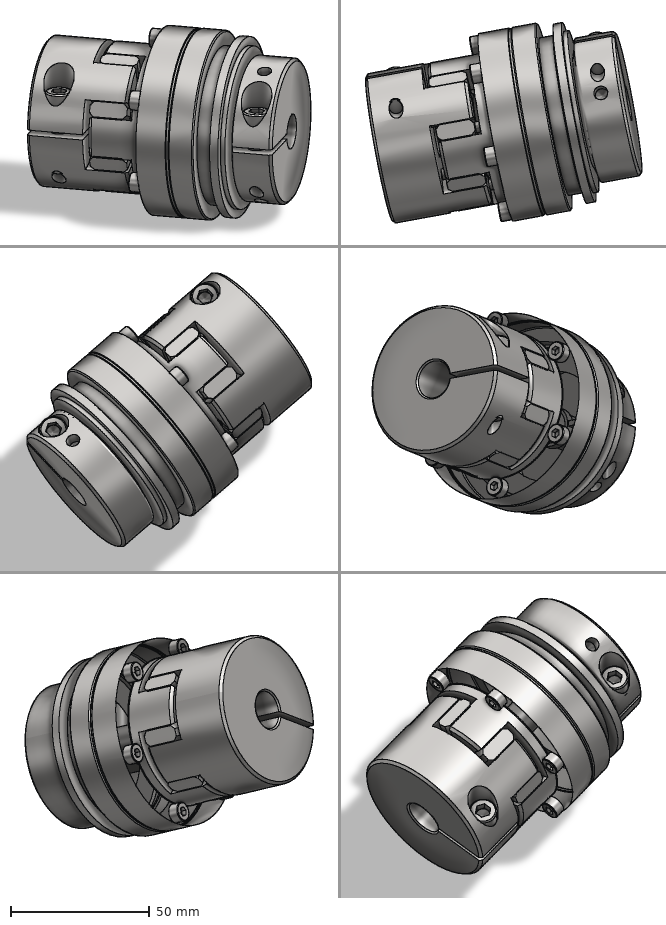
import cadquery as cq
import math


left_end = 0.0
left_hub_face = 21.0
spider_start = 23.0
spider_end = 37.0
jaw_hub_face = 39.0
spigot_start = 42.6
flange_start = 43.0
flange_groove_start = 54.2
flange_groove_end = 55.0
flange_end = 64.4
collar_end = 69.6
disc_start = 70.3
disc_end = 73.4
ring_end = 75.1
recess_cone_start = 78.6
dome_end = 76.6
right_end = 91.74

left_hub_radius = 27.5
jaw_hub_radius = 27.3
spigot_radius = 27.45
flange_radius = 34.5
flange_groove_radius = 34.1
collar_radius = 29.0
collar_groove_radius = 28.0
disc_radius = 33.0
ring_radius = 29.7
dome_small_radius = 20.4
dome_middle_radius = 22.9
dome_middle_x = 76.0
dome_large_radius = 25.6
shoulder_width = 1.0
shoulder_middle_x = 76.9
shoulder_middle_radius = 26.3
right_hub_radius = 26.6
bore_radius = 6.35
recess_radius = 7.5
left_bore_radius = 6.9
hub_chamfer = 1.0
front_flange_chamfer = 0.2
rear_flange_chamfer = 0.5
bore_chamfer = 0.6

jaws_per_hub = 4
leg_count = 2 * jaws_per_hub
leg_pitch = 360.0 / leg_count
leg_width = 6.0
leg_bulge = 0.9
leg_outer_radius = 27.0
leg_chamfer = 1.6
leg_edge_chamfer = 0.3
jaw_inner_radius = 17.5
jaw_chamfer = 1.1
core_outer_radius = 17.0
core_inner_radius = 13.5
pin_diameter = 4.0
pin_circle_radius = 20.0
pin_projection = 1.5

slit_width = 2.0
counterbore_diameter = 11.0
screw_head_diameter = 10.0
screw_head_height = 6.0
screw_head_chamfer = 0.5
screw_diameter = 6.0
screw_clearance_diameter = 6.5
screw_thread_diameter = 5.0
screw_socket_width = 5.0
screw_socket_depth = 3.0
left_screw_x = 10.0
left_screw_y = -20.0
left_screw_top = 14.4
left_screw_length = 24.5
right_screw_x = 84.15
right_screw_y = -19.6
right_screw_top = 13.1
right_screw_length = 20.0
right_slit_start = 75.6

radial_hole_diameter = 5.0
radial_hole_depth = 5.0
radial_hole_angles = (110.0, 239.5)

bolt_count = 6
bolt_circle_radius = 31.0
bolt_head_diameter = 7.0
bolt_head_chamfer = 0.3
bolt_socket_width = 3.0
bolt_socket_depth = 2.0

drill_point_half_angle = math.radians(59.0)


def tube(start, end, outer_radius, inner_radius):
    """Hollow cylinder about the X axis."""
    plane = cq.Workplane("YZ", origin=(start, 0, 0))
    return plane.circle(outer_radius).circle(inner_radius).extrude(end - start)


def rod(start, end, radius):
    """Solid cylinder about the X axis."""
    return cq.Workplane("YZ", origin=(start, 0, 0)).circle(radius).extrude(end - start)


def about_x(shape, angle):
    """Turn a shape about the X axis; a positive angle goes from +Y towards +Z."""
    return shape.rotate((0, 0, 0), (1, 0, 0), angle)


def drill_point(diameter):
    """Cone below the XY plane that ends a drilled hole."""
    radius = diameter / 2
    length = radius / math.tan(drill_point_half_angle)
    return cq.Workplane(cq.Solid.makeCone(radius, 0, length, dir=cq.Vector(0, 0, -1)))


def hex_socket(width, depth):
    """Hexagonal recess below the XY plane with a conical floor and two corners on the Y axis."""
    across_corners = width / math.cos(math.pi / 6)
    hexagon = cq.Workplane("XY").polygon(6, across_corners).extrude(-depth)
    point = drill_point(width).translate((0, 0, -depth))
    return hexagon.rotate((0, 0, 0), (0, 0, 1), 90).union(point)


def socket_head(diameter, height, chamfer, socket_width, socket_depth):
    """Cap screw head with its top on the XY plane."""
    head = cq.Workplane("XY").circle(diameter / 2).extrude(-height)
    head = head.faces(">Z").edges().chamfer(chamfer)
    return head.cut(hex_socket(socket_width, socket_depth))


def leg_blank(start, end, inner_radius, outer_radius):
    """Barrel-sided bar along +Y, one leg wide at both ends of the jaws and wider halfway."""
    half_width = leg_width / 2
    barrel_inner = math.sqrt(jaw_inner_radius**2 - half_width**2)
    barrel_outer = math.sqrt(left_hub_radius**2 - half_width**2)
    barrel_middle = (barrel_inner + barrel_outer) / 2
    section = (
        cq.Workplane("YZ", origin=(start, 0, 0))
        .moveTo(0, half_width)
        .lineTo(barrel_inner, half_width)
        .threePointArc((barrel_middle, half_width + leg_bulge), (barrel_outer, half_width))
        .lineTo(2 * left_hub_radius, half_width)
        .lineTo(2 * left_hub_radius, -half_width)
        .lineTo(barrel_outer, -half_width)
        .threePointArc((barrel_middle, -half_width - leg_bulge), (barrel_inner, -half_width))
        .lineTo(0, -half_width)
        .close()
    )
    limits = cq.Workplane("XY").box(
        end - start, outer_radius - inner_radius, 2 * leg_width, centered=(False, False, True)
    )
    return section.extrude(end - start).intersect(limits.translate((start, inner_radius, 0)))


def jaws(start, end, outer_radius, first_angle, outer_end):
    """Four jaws whose flanks fit the spider legs between them."""
    body = rod(start, end, outer_radius).faces(outer_end).edges().chamfer(jaw_chamfer)
    body = body.cut(rod(start, end, jaw_inner_radius))
    for index in range(leg_count):
        slot = leg_blank(start, end, 0, 2 * outer_radius)
        body = body.cut(about_x(slot, (index + 0.5) * leg_pitch))
    sector_reach = 2 * outer_radius
    sector_half_width = sector_reach * math.tan(math.radians(leg_pitch / 2))
    sector = (
        cq.Workplane("YZ", origin=(start, 0, 0))
        .polyline([(0, 0), (sector_reach, -sector_half_width), (sector_reach, sector_half_width)])
        .close()
        .extrude(end - start)
    )
    kept = None
    for index in range(jaws_per_hub):
        jaw = body.intersect(about_x(sector, first_angle + 2 * index * leg_pitch))
        kept = jaw if kept is None else kept.union(jaw)
    return kept


def spider():
    """Elastic star: a ring with eight chamfered legs whose spacer pins face either hub in turn."""
    star = tube(spider_start, spider_end, core_outer_radius, core_inner_radius)
    leg_root = (core_inner_radius + core_outer_radius) / 2
    leg = leg_blank(spider_start, spider_end, leg_root, leg_outer_radius)
    widest = leg_width + 2 * leg_bulge
    octagon = cq.Workplane("XY").box(
        spider_end - spider_start, leg_outer_radius, widest, centered=(False, False, True)
    )
    octagon = octagon.edges("|Y").chamfer(leg_chamfer + leg_bulge)
    leg = leg.intersect(octagon.translate((spider_start, 0, 0)))
    leg = leg.faces(">Y").edges("|X").chamfer(leg_edge_chamfer)

    pin_length = spider_end - spider_start + pin_projection
    pin = cq.Workplane("YZ").center(pin_circle_radius, 0).circle(pin_diameter / 2).extrude(pin_length)
    left_pin_leg = leg.union(pin.translate((spider_start - pin_projection, 0, 0)))
    right_pin_leg = leg.union(pin.translate((spider_start, 0, 0)))
    for index in range(leg_count):
        pinned_leg = left_pin_leg if index % 2 == 0 else right_pin_leg
        star = star.union(about_x(pinned_leg, (index + 0.5) * leg_pitch))
    return star


def clamp(hub, slit_start, slit_end, x, y, head_top, screw_length):
    """Slit a hub on its -Y side and fit the clamping screw that crosses the slit."""
    reach = 2 * left_hub_radius
    slit = cq.Workplane("XY").box(
        slit_end - slit_start, reach, slit_width, centered=(False, False, True)
    )
    hub = hub.cut(slit.translate((slit_start, -reach, 0)))

    seat = head_top - screw_head_height
    drill = cq.Workplane("XY", origin=(x, y, seat))
    hub = hub.cut(drill.circle(counterbore_diameter / 2).extrude(reach))
    hub = hub.cut(drill.circle(screw_clearance_diameter / 2).extrude(-seat))
    hub = hub.cut(drill.circle(screw_thread_diameter / 2).extrude(-reach))

    head = socket_head(
        screw_head_diameter, screw_head_height, screw_head_chamfer, screw_socket_width, screw_socket_depth
    )
    shank = drill.circle(screw_diameter / 2).extrude(-screw_length)
    return hub.union(head.translate((x, y, head_top))).union(shank)


def left_hub():
    """Clamping hub with a through bore and four jaws on its inner face."""
    hub = rod(left_end, left_hub_face, left_hub_radius).faces("<X").edges().chamfer(hub_chamfer)
    bore = about_x(rod(left_end, left_hub_face, left_bore_radius), 180)
    hub = hub.cut(bore).faces("<X").edges("%CIRCLE").edges(cq.selectors.RadiusNthSelector(0))
    hub = hub.chamfer(bore_chamfer)
    hub = clamp(
        hub, left_end, left_hub_face, left_screw_x, left_screw_y, left_screw_top, left_screw_length
    )
    return hub.union(jaws(left_hub_face, spider_end, left_hub_radius, leg_pitch, ">X"))


def jaw_hub():
    """Four-jawed hub with a shallow locating spigot against the flange."""
    hub = tube(jaw_hub_face, flange_start, jaw_hub_radius, bore_radius)
    hub = hub.union(tube(spigot_start, flange_start, spigot_radius, bore_radius))
    return hub.union(jaws(spider_start, jaw_hub_face, jaw_hub_radius, 0, "<X"))


def flange_and_rings():
    """Two flange discs split by a shallow groove, then the collar, disc and ring."""
    front = rod(flange_start, flange_groove_start, flange_radius)
    front = front.faces(">X").edges().chamfer(front_flange_chamfer)
    rear = rod(flange_groove_end, flange_end, flange_radius).edges().chamfer(rear_flange_chamfer)
    stack = front.union(rod(flange_groove_start, flange_groove_end, flange_groove_radius))
    stack = stack.union(rear)
    stack = stack.union(rod(flange_end, collar_end, collar_radius))
    stack = stack.union(rod(collar_end, disc_start, collar_groove_radius))
    stack = stack.union(rod(disc_start, disc_end, disc_radius))
    stack = stack.union(rod(disc_end, ring_end, ring_radius))
    return stack.cut(rod(flange_start, ring_end, bore_radius))


def radial_hole(angle):
    """Blind drilled hole pointing at the axis of the right hub."""
    hole = cq.Workplane("XY").circle(radial_hole_diameter / 2).extrude(-radial_hole_depth)
    hole = hole.union(drill_point(radial_hole_diameter).translate((0, 0, -radial_hole_depth)))
    entry = cq.Workplane("XY").circle(radial_hole_diameter / 2).extrude(radial_hole_diameter)
    hole = hole.union(entry).translate((right_screw_x, 0, right_hub_radius))
    return about_x(hole, angle - 90)


def right_hub():
    """Clamping hub with a domed shoulder and a recess towards the rings."""
    recess_cone_end = recess_cone_start + recess_radius - bore_radius
    profile = (
        cq.Workplane("XY")
        .moveTo(ring_end, recess_radius)
        .lineTo(ring_end, dome_small_radius)
        .threePointArc((dome_middle_x, dome_middle_radius), (dome_end, dome_large_radius))
        .threePointArc(
            (shoulder_middle_x, shoulder_middle_radius), (dome_end + shoulder_width, right_hub_radius)
        )
        .lineTo(right_end - hub_chamfer, right_hub_radius)
        .lineTo(right_end, right_hub_radius - hub_chamfer)
        .lineTo(right_end, bore_radius)
        .lineTo(recess_cone_end, bore_radius)
        .lineTo(recess_cone_start, recess_radius)
        .close()
    )
    hub = profile.revolve(360, (0, 0, 0), (1, 0, 0))
    hub = clamp(
        hub, right_slit_start, right_end, right_screw_x, right_screw_y, right_screw_top, right_screw_length
    )
    for angle in radial_hole_angles:
        hub = hub.cut(radial_hole(angle))
    return hub


def flange_bolts():
    """Six cap screw heads standing on the flange, the first one straight up."""
    height = flange_start - jaw_hub_face
    head = socket_head(bolt_head_diameter, height, bolt_head_chamfer, bolt_socket_width, bolt_socket_depth)
    head = head.rotate((0, 0, 0), (0, 1, 0), -90).rotate((0, 0, 0), (1, 0, 0), 90)
    heads = []
    for index in range(bolt_count):
        angle = math.radians(90 + index * 360.0 / bolt_count)
        y = bolt_circle_radius * math.cos(angle)
        z = bolt_circle_radius * math.sin(angle)
        heads.append(head.translate((jaw_hub_face, y, z)))
    return heads


result = left_hub().union(spider()).union(jaw_hub()).union(flange_and_rings()).union(right_hub())
for bolt in flange_bolts():
    result = result.union(bolt)